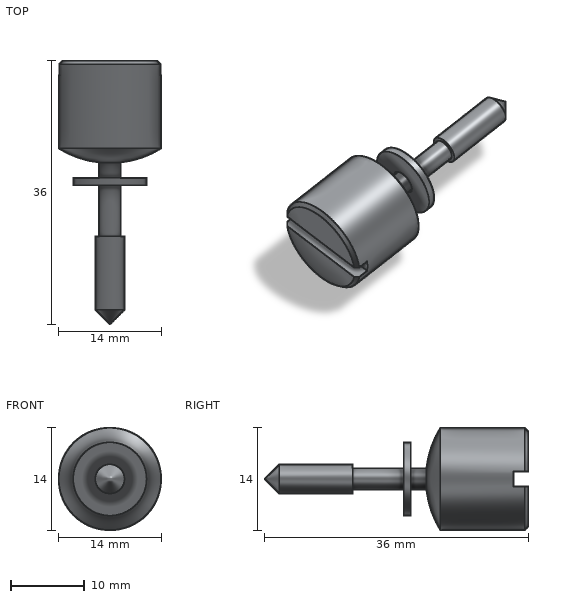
import cadquery as cq


total_length = 36.0
head_diameter = 14.0
head_length = 14.0
dome_height = 2.0
head_chamfer = 0.5
slot_width = 2.0
slot_depth = 2.0
neck_diameter = 3.0
shank_diameter = 4.0
shank_length = 10.0
washer_diameter = 10.0
washer_thickness = 1.0
washer_gap = 2.0
washer_bore = 3.4

head_radius = head_diameter / 2
neck_radius = neck_diameter / 2
shank_radius = shank_diameter / 2
tip_length = shank_radius
dome_start = head_length - dome_height
shank_end = total_length - tip_length
shank_start = shank_end - shank_length
washer_start = head_length + washer_gap

dome_sphere_radius = (head_radius**2 + dome_height**2) / (2 * dome_height)
dome_center = head_length - dome_sphere_radius


def dome_position(radius):
    """Distance from the slotted end to the dome surface at a given radius."""
    return dome_center + (dome_sphere_radius**2 - radius**2) ** 0.5


def make_screw():
    """Turned screw: chamfered head, dome, neck, shank and pointed tip, with a driver slot."""
    mid_radius = (head_radius + neck_radius) / 2
    turned = (
        cq.Workplane("XY")
        .moveTo(0, 0)
        .lineTo(head_radius - head_chamfer, 0)
        .lineTo(head_radius, -head_chamfer)
        .lineTo(head_radius, -dome_start)
        .threePointArc((mid_radius, -dome_position(mid_radius)), (neck_radius, -dome_position(neck_radius)))
        .lineTo(neck_radius, -shank_start)
        .lineTo(shank_radius, -shank_start)
        .lineTo(shank_radius, -shank_end)
        .lineTo(0, -total_length)
        .close()
        .revolve(360, (0, 0), (0, 1))
    )
    slot = cq.Workplane("XY").box(head_diameter, 2 * slot_depth, slot_width)
    return turned.cut(slot)


def make_washer():
    """Flat washer around the neck."""
    return (
        cq.Workplane("XZ", origin=(0, -washer_start, 0))
        .circle(washer_diameter / 2)
        .circle(washer_bore / 2)
        .extrude(washer_thickness)
    )


screw = make_screw()
washer = make_washer()

result = cq.Compound.makeCompound([screw.val(), washer.val()])